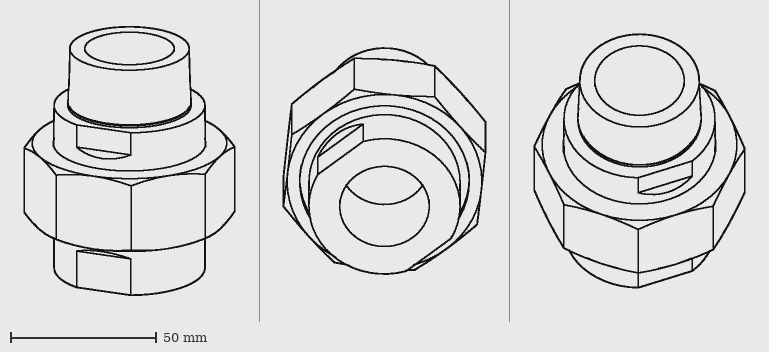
import cadquery as cq
import math


total_height = 81.0
bore_radius = 15.4
body_radius = 26.0
flat_distance = 24.0
mating_z = 32.4

nut_across_flats = 67.0
nut_bottom_z = 19.1
nut_height = 26.9
nut_top_z = nut_bottom_z + nut_height
nut_lip_thickness = 4.9
nut_lip_radius = 26.25
nut_bore_radius = 29.2
nut_sides = 8
nut_chamfer_angle = math.radians(30)

flare_start_z = 18.6
lower_flat_top_z = 13.45

shoulder_z = 60.0
upper_flat_bottom_z = 51.8
spigot_bottom_z = 61.1
spigot_bottom_radius = 21.2
spigot_top_radius = 20.6
relief_radius = 20.7
relief_z = (shoulder_z + spigot_bottom_z) / 2


def revolve_profile(points):
    """Revolve a closed (radius, height) outline about Z."""
    return cq.Workplane("XZ").polyline(points).close().revolve(360, (0, 0), (0, 1))


def flat_cutter(flat_end_z, open_end_z):
    """Material beyond one wrench flat on -Y, with a 45 degree run-out at flat_end_z."""
    runout = body_radius - flat_distance
    runout_direction = math.copysign(1, flat_end_z - open_end_z)
    outline = [
        (-flat_distance, open_end_z),
        (-flat_distance, flat_end_z),
        (-body_radius, flat_end_z + runout_direction * runout),
        (-body_radius, open_end_z),
    ]
    return cq.Workplane("YZ").polyline(outline).close().extrude(body_radius, both=True)


def cut_wrench_flats(body, flat_end_z, open_end_z):
    """Cut the two opposite wrench flats."""
    cutter = flat_cutter(flat_end_z, open_end_z)
    for angle in (0, 180):
        body = body.cut(cutter.rotate((0, 0, 0), (0, 0, 1), angle))
    return body


def make_lower_end():
    flare_end_z = flare_start_z + nut_bore_radius - body_radius
    body = revolve_profile([
        (bore_radius, 0),
        (body_radius, 0),
        (body_radius, flare_start_z),
        (nut_bore_radius, flare_end_z),
        (nut_bore_radius, mating_z),
        (bore_radius, mating_z),
    ])
    return cut_wrench_flats(body, lower_flat_top_z, 0)


def make_upper_end():
    flange_top_z = nut_top_z - nut_lip_thickness
    body = revolve_profile([
        (bore_radius, mating_z),
        (nut_bore_radius, mating_z),
        (nut_bore_radius, flange_top_z),
        (body_radius, flange_top_z),
        (body_radius, shoulder_z),
        (spigot_bottom_radius, shoulder_z),
        (relief_radius, relief_z),
        (spigot_bottom_radius, spigot_bottom_z),
        (spigot_top_radius, total_height),
        (bore_radius, total_height),
    ])
    return cut_wrench_flats(body, upper_flat_bottom_z, shoulder_z)


def make_nut():
    flat_radius = nut_across_flats / 2
    corner_radius = flat_radius / math.cos(math.pi / nut_sides)
    chamfer_drop = (corner_radius - flat_radius) * math.tan(nut_chamfer_angle)
    lip_bottom_z = nut_top_z - nut_lip_thickness
    blank = revolve_profile([
        (nut_bore_radius, nut_bottom_z),
        (flat_radius, nut_bottom_z),
        (corner_radius, nut_bottom_z + chamfer_drop),
        (corner_radius, nut_top_z - chamfer_drop),
        (flat_radius, nut_top_z),
        (nut_lip_radius, nut_top_z),
        (nut_lip_radius, lip_bottom_z),
        (nut_bore_radius, lip_bottom_z),
    ])
    octagon = (
        cq.Workplane("XY")
        .workplane(offset=nut_bottom_z)
        .polygon(nut_sides, 2 * corner_radius)
        .extrude(nut_height)
        .rotate((0, 0, 0), (0, 0, 1), 180 / nut_sides)
    )
    return blank.intersect(octagon)


lower_end = make_lower_end()
upper_end = make_upper_end()
nut = make_nut()

result = cq.Compound.makeCompound([lower_end.val(), upper_end.val(), nut.val()])